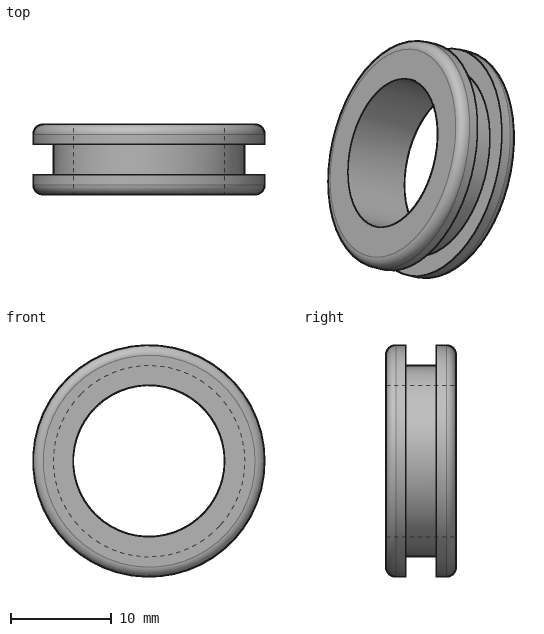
import cadquery as cq

outer_diameter = 23.0
bore_diameter = 15.0
groove_diameter = 19.0
width = 7.0
flange_thickness = 2.0
rim_radius = 1.0

groove_width = width - 2 * flange_thickness


def disc(diameter, length):
    """Cylinder along Y, centred on the origin."""
    return cq.Workplane("XZ", origin=(0, length / 2, 0)).circle(diameter / 2).extrude(length)


body = disc(outer_diameter, width).faces("<Y or >Y").edges().fillet(rim_radius)

groove = disc(outer_diameter, groove_width).cut(disc(groove_diameter, groove_width))
bore = disc(bore_diameter, width)

result = body.cut(groove).cut(bore)